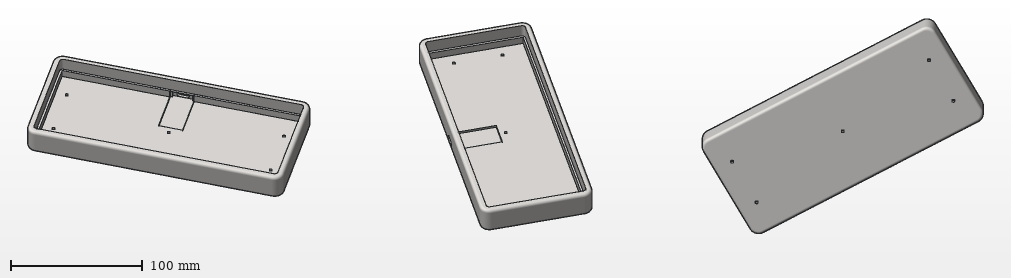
import cadquery as cq

length = 201.8
width = 87.8
height = 20.5
corner_radius = 7.5
edge_radius = 2.5

rim_wall = 4.8
rim_corner_radius = corner_radius - rim_wall
end_wall = 6.7
side_wall = 6.5
floor_thickness = 3.8
ledge_height = 10.0

hole_diameter = 2.2
hole_spacing_x = 171.2
hole_spacing_y = 38.1

pocket_width = 19.0
pocket_front_y = 5.0
pocket_depth = 1.8
pocket_back_wall = 4.0
pocket_top_z = 9.7

port_width = 10.0
port_height = 5.2
port_center_z = 4.8

step_width = 15.7
step_back_wall = 2.5


def make_body():
    body = cq.Workplane("XY").box(length, width, height, centered=(True, True, False))
    body = body.edges("|Z").fillet(corner_radius)
    return body.faces("<Z or >Z").edges().fillet(edge_radius)


def make_recess():
    recess = cq.Workplane("XY", origin=(0, 0, ledge_height))
    recess = recess.rect(length - 2 * rim_wall, width - 2 * rim_wall).extrude(height - ledge_height)
    return recess.edges("|Z").fillet(rim_corner_radius)


def make_chamber():
    chamber = cq.Workplane("XY", origin=(0, 0, floor_thickness))
    return chamber.rect(length - 2 * end_wall, width - 2 * side_wall).extrude(height - floor_thickness)


def make_holes():
    holes = cq.Workplane("XY").rarray(hole_spacing_x, hole_spacing_y, 2, 2).circle(hole_diameter / 2)
    holes = holes.extrude(floor_thickness)
    center_hole = cq.Workplane("XY").circle(hole_diameter / 2).extrude(floor_thickness)
    return holes.union(center_hole)


def make_pocket(span, back_wall):
    bottom_z = floor_thickness - pocket_depth
    back_y = width / 2 - back_wall
    pocket = cq.Workplane("XY", origin=(0, pocket_front_y, bottom_z))
    return pocket.box(span, back_y - pocket_front_y, pocket_top_z - bottom_z,
                      centered=(True, False, False))


def make_port():
    port = cq.Workplane("XZ", origin=(0, width / 2, port_center_z))
    return port.slot2D(port_width, port_height).extrude(side_wall)


result = make_body().cut(make_recess()).cut(make_chamber()).cut(make_holes())
result = result.cut(make_pocket(pocket_width, pocket_back_wall))
result = result.cut(make_pocket(step_width, step_back_wall))
result = result.cut(make_port())